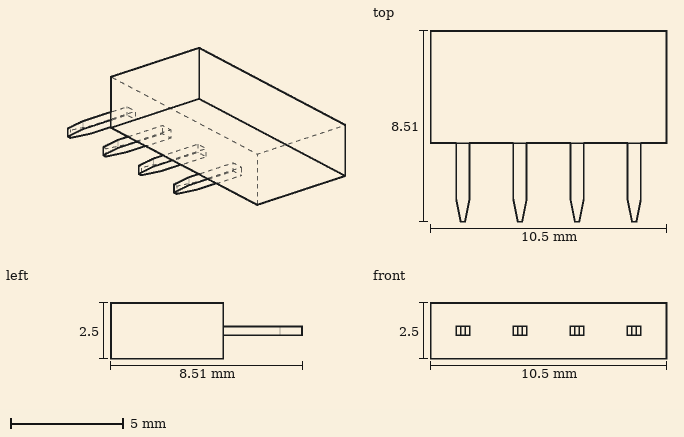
import cadquery as cq

body_length = 10.5
body_depth = 5.0
body_height = 2.5

pin_count = 4
pin_pitch = 2.54
pin_length = 3.51
pin_width = 0.6
pin_thickness = 0.4
tip_width = 0.2
tip_length = 1.0


def make_body():
    """Plain block with its pin face on the plane Y = 0."""
    return cq.Workplane("XY").box(
        body_length, body_depth, body_height, centered=(True, False, True)
    )


def make_pin():
    """One pin pointing toward -Y, centered on X and Z, rooted at Y = 0."""
    shoulder_y = tip_length - pin_length
    outline = [
        (-pin_width / 2, 0),
        (-pin_width / 2, shoulder_y),
        (-tip_width / 2, -pin_length),
        (tip_width / 2, -pin_length),
        (pin_width / 2, shoulder_y),
        (pin_width / 2, 0),
    ]
    return cq.Workplane("XY").polyline(outline).close().extrude(pin_thickness / 2, both=True)


result = make_body()
for index in range(pin_count):
    pin_x = (index - (pin_count - 1) / 2) * pin_pitch
    result = result.union(make_pin().translate((pin_x, 0, 0)))